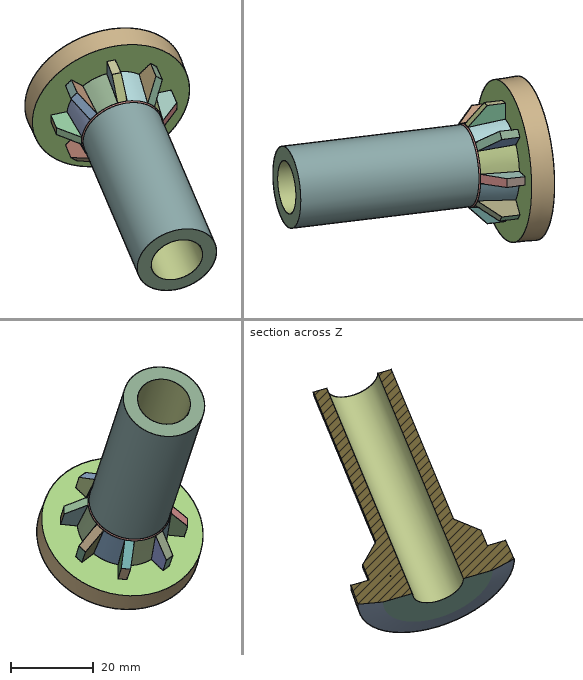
import cadquery as cq

total_length = 62.9
bevel_depth = 1.4
flange_back = 7.25
rib_slope_start = 11.9
collar_end = 16.85
tube_start = 17.25

front_face_radius = 14.0
rim_radius = 20.0
rim_back_radius = 19.8
collar_radius = 11.15
collar_end_radius = 10.25
tube_radius = 10.0
bore_radius = 6.5

rib_count = 8
rib_radius = 15.15
rib_root_thickness = 2.15
rib_end_thickness = 2.4


def make_body():
    """Revolve the bevelled flange, tapered collar and tube in one profile."""
    profile = (
        cq.Workplane("XY")
        .moveTo(0, bore_radius)
        .lineTo(0, front_face_radius)
        .lineTo(bevel_depth, rim_radius)
        .lineTo(flange_back, rim_back_radius)
        .lineTo(flange_back, collar_radius)
        .lineTo(collar_end, collar_end_radius)
        .lineTo(tube_start, tube_radius)
        .lineTo(total_length, tube_radius)
        .lineTo(total_length, bore_radius)
        .close()
    )
    return profile.revolve(360, (0, 0, 0), (1, 0, 0))


def make_rib():
    """Build one sloped rib along +Z, thickening slightly away from the flange."""
    root_radius = (bore_radius + tube_radius) / 2
    side_profile = (
        cq.Workplane("XZ")
        .moveTo(flange_back, root_radius)
        .lineTo(flange_back, rib_radius)
        .lineTo(rib_slope_start, rib_radius)
        .lineTo(collar_end, collar_end_radius)
        .lineTo(collar_end, root_radius)
        .close()
    )
    plate = side_profile.extrude(rib_end_thickness / 2, both=True)
    tapered_envelope = (
        cq.Workplane("XY")
        .moveTo(flange_back, -rib_root_thickness / 2)
        .lineTo(collar_end, -rib_end_thickness / 2)
        .lineTo(collar_end, rib_end_thickness / 2)
        .lineTo(flange_back, rib_root_thickness / 2)
        .close()
        .extrude(rib_radius)
    )
    return plate.intersect(tapered_envelope)


result = make_body()
rib = make_rib()
for index in range(rib_count):
    angle = index * 360 / rib_count
    result = result.union(rib.rotate((0, 0, 0), (1, 0, 0), angle))